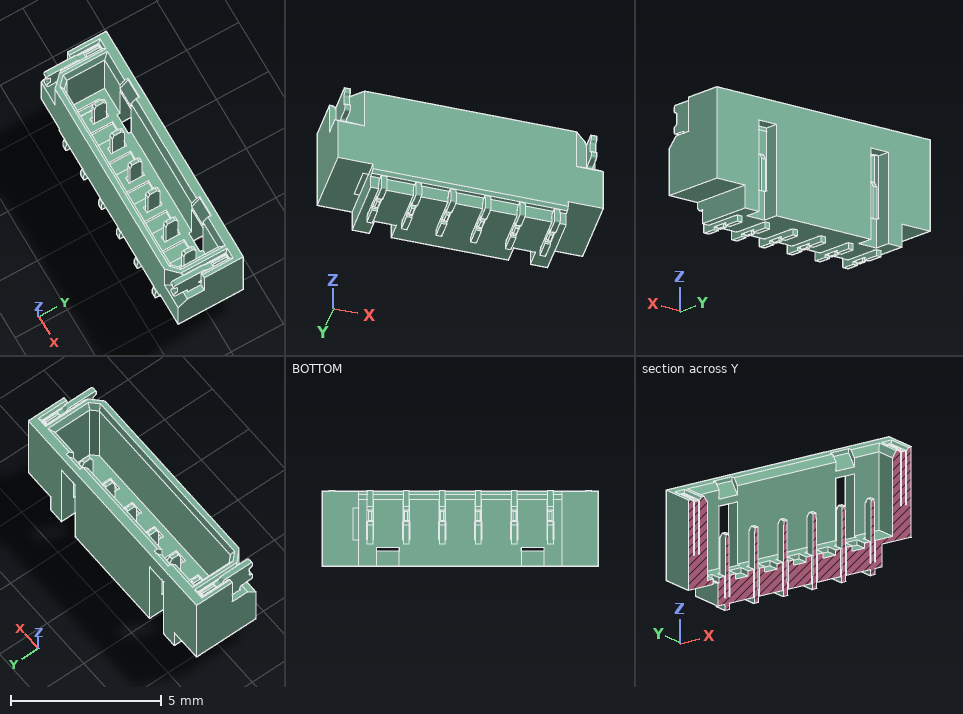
import cadquery as cq


length = 9.2
depth = 2.5
top_z = 4.2
ear_bottom_z = 1.01
base_length = 6.77
base_bottom_z = 0.21
overhang = 0.03

groove_top_z = 0.7
groove_depth = 0.27
groove_bevel = 0.11

cavity_half_length = 3.81
cavity_front_y = 0.3
cavity_back_y = 1.99
cavity_floor_z = 1.21
cavity_corner = 0.23
mouth_half_length = 3.96
mouth_front_y = 0.19
mouth_back_y = 2.17
mouth_corner = 0.285
lead_in_height = 0.23

window_x = 2.41
window_width = 0.75
window_front_y = 1.88
window_top_z = 3.4
ramp_bottom_z = 3.65
ramp_top_z = 4.06
ramp_back_y = 2.3

contact_count = 6
contact_span = 6.0
pitch = contact_span / (contact_count - 1)
contact_width = 0.19
contact_slot_width = 0.22
channel_top_z = 0.45
foot_back_y = 1.75
foot_front_z = 0.6
foot_slope_height = 0.2
foot_slope_setback = 0.05
foot_toe_radius = 0.06
foot_arch_front_y = 0.515
foot_arch_back_y = 1.12
foot_arch_z = 0.09
stud_front_y = 0.63
stud_back_y = 1.01
stud_taper = 0.05
pin_slot_front_y = 1.02
pin_slot_back_y = 1.61
pin_width = 0.17
pin_front_y = 1.09
pin_back_y = 1.55
pin_top_z = 2.67
pin_tip_height = 0.18
pin_tip_width = 0.13
pin_tip_front_y = 1.16
pin_tip_back_y = 1.435

pocket_front_y = 0.55
pocket_back_y = 1.63
pocket_depth = 0.18
pocket_width = 0.5
end_pocket_x = -3.46
end_pocket_width = 0.22

recess_corner_x = 3.67
recess_floor_z = 3.01
recess_back_y = 1.0
recess_bevel = 0.36
tab_x = 4.27
tab_slot_width = 0.22
tab_slot_back_y = 2.09
tab_slot_floor_z = 2.21
tab_lead_in = 0.09

tab_width = 0.19
tab_stem_front_y = 0.5
tab_lower_z = 3.19
tab_notch_bottom_z = 3.48
tab_notch_top_z = 3.94
tab_notch_depth = 0.14
tab_notch_slope = 0.05
tab_edge_radius = 0.09
tab_dip_radius = 0.11
tab_top_back_y = 1.15
tab_dip_front_y = 1.29
tab_dip_back_y = 1.53
tab_dip_z = 4.07
tab_ridge_z = 4.14
tab_ridge_width = 0.07
tab_ridge_back_y = 2.04
tab_ridge_taper = 0.05
tab_hole_y = 1.0
tab_hole_z = 3.28
tab_hole_radius = 0.07


def block(x, width, y0, y1, z0, z1):
    """Box centred on x, between the given Y and Z limits."""
    box = cq.Workplane("XY").box(width, y1 - y0, z1 - z0, centered=(True, False, False))
    return box.translate((x, y0, z0))


def frustum(x, bottom, top, z0, z1):
    """Tapered block; bottom and top are (width, front y, back y)."""
    sections = []
    for (width, y0, y1), z in ((bottom, z0), (top, z1)):
        half = width / 2
        corners = [(x - half, y0, z), (x + half, y0, z), (x + half, y1, z), (x - half, y1, z)]
        sections.append(cq.Wire.makePolygon([cq.Vector(*p) for p in corners], close=True))
    return cq.Workplane(obj=cq.Solid.makeLoft(sections, True))


def side_profile(points, x, width):
    """Outline in Y and Z, extruded to a width centred on x."""
    return cq.Workplane("YZ").polyline(points).close().extrude(width / 2, both=True).translate((x, 0, 0))


def cavity_outline(half_length, front_y, back_y, corner, z):
    """Rectangle with its two front corners cut off."""
    right = [
        (half_length - corner, front_y),
        (half_length, front_y + corner),
        (half_length, back_y),
    ]
    left = [(-x, y) for x, y in reversed(right)]
    return cq.Wire.makePolygon([cq.Vector(x, y, z) for x, y in right + left], close=True)


def make_cavity():
    inner_size = (cavity_half_length, cavity_front_y, cavity_back_y, cavity_corner)
    mouth_size = (mouth_half_length, mouth_front_y, mouth_back_y, mouth_corner)
    floor = cavity_outline(*inner_size, cavity_floor_z)
    neck = cavity_outline(*inner_size, top_z - lead_in_height)
    mouth = cavity_outline(*mouth_size, top_z)
    well = cq.Workplane(obj=cq.Solid.makeLoft([floor, neck], True))
    return well.union(cq.Workplane(obj=cq.Solid.makeLoft([neck, mouth], True)))


def make_groove():
    outline = [
        (0, base_bottom_z),
        (groove_depth, base_bottom_z),
        (groove_depth, groove_top_z),
        (groove_bevel, groove_top_z),
        (0, groove_top_z + groove_bevel),
    ]
    return side_profile(outline, 0, base_length)


def make_latch_window(x):
    opening = block(x, window_width, window_front_y, depth, base_bottom_z, window_top_z)
    ramp = [
        (cavity_back_y, ramp_bottom_z),
        (ramp_back_y, ramp_top_z),
        (ramp_back_y, top_z),
        (cavity_back_y, top_z),
    ]
    return opening.union(side_profile(ramp, x, window_width))


def make_tab_pocket():
    """Bevelled corner recess and tab slot at the left end."""
    end_x = -length / 2
    slot_inner_x = -tab_x + tab_slot_width / 2
    recess_plan = [
        (end_x, 0),
        (-recess_corner_x, 0),
        (slot_inner_x, -recess_corner_x - slot_inner_x),
        (slot_inner_x, recess_back_y),
        (end_x, recess_back_y),
    ]
    bevelled_plan = [
        (0, recess_floor_z - recess_bevel),
        (recess_bevel, recess_floor_z),
        (recess_back_y, recess_floor_z),
        (recess_back_y, top_z),
        (0, top_z),
    ]
    recess = cq.Workplane("XY").polyline(recess_plan).close().extrude(top_z)
    recess = recess.intersect(side_profile(bevelled_plan, 0, length))
    slot = block(-tab_x, tab_slot_width, tab_stem_front_y, tab_slot_back_y, tab_slot_floor_z, top_z)
    lead_in = frustum(
        -tab_x,
        (tab_slot_width, 0, tab_slot_back_y),
        (tab_slot_width + 2 * tab_lead_in, 0, tab_slot_back_y + tab_lead_in),
        top_z - tab_lead_in,
        top_z,
    )
    return recess.union(slot).union(lead_in)


def make_tab():
    """Upright solder tab at the left end, with a two-lobed front edge."""
    notch_y = tab_notch_depth - overhang
    half_slope = tab_notch_slope / 2
    outline = [
        (-overhang, top_z),
        (-overhang, tab_notch_top_z + half_slope),
        (notch_y, tab_notch_top_z - half_slope),
        (notch_y, tab_notch_bottom_z + half_slope),
        (-overhang, tab_notch_bottom_z - half_slope),
        (-overhang, tab_lower_z),
        (tab_stem_front_y, tab_lower_z),
        (tab_stem_front_y, tab_slot_floor_z),
        (tab_slot_back_y, tab_slot_floor_z),
        (tab_slot_back_y, tab_dip_z),
        (tab_dip_front_y, tab_dip_z),
        (tab_top_back_y, top_z),
    ]
    tab = side_profile(outline, -tab_x, tab_width)
    margin = 0.09
    front_region = cq.selectors.BoxSelector(
        (-length, -margin, tab_lower_z - margin), (length, tab_stem_front_y + margin, top_z + margin)
    )
    dip_region = cq.selectors.BoxSelector(
        (-length, tab_stem_front_y + margin, tab_dip_z - margin), (length, tab_dip_back_y, top_z + margin)
    )
    tab = tab.edges("|X").edges(front_region).fillet(tab_edge_radius)
    tab = tab.edges("|X").edges(dip_region).fillet(tab_dip_radius)
    ridge = frustum(
        -tab_x,
        (tab_width, tab_dip_back_y - tab_ridge_taper, tab_ridge_back_y),
        (tab_ridge_width, tab_dip_back_y, tab_ridge_back_y),
        tab_dip_z,
        tab_ridge_z,
    )
    hole = cq.Workplane("YZ").center(tab_hole_y, tab_hole_z).circle(tab_hole_radius)
    return tab.union(ridge).cut(hole.extrude(length, both=True))


def make_contact_slot(x):
    """Channel under the base and the opening through the cavity floor."""
    channel = block(x, contact_slot_width, groove_depth, pin_slot_back_y, base_bottom_z, channel_top_z)
    opening = block(x, contact_slot_width, pin_slot_front_y, pin_slot_back_y, base_bottom_z, cavity_floor_z)
    return channel.union(opening)


def make_contact(x):
    """Solder foot with an arched underside and an upright mating pin."""
    foot_outline = [
        (-overhang, 0),
        (foot_arch_front_y, 0),
        (foot_arch_front_y, foot_arch_z),
        (foot_arch_back_y, foot_arch_z),
        (foot_arch_back_y, 0),
        (foot_back_y, 0),
        (foot_back_y, base_bottom_z),
        (pin_slot_back_y, base_bottom_z),
        (pin_slot_back_y, channel_top_z),
        (groove_depth, channel_top_z),
        (groove_depth, foot_front_z),
        (foot_slope_setback - overhang, foot_front_z),
        (-overhang, foot_front_z - foot_slope_height),
    ]
    foot = side_profile(foot_outline, x, contact_width)
    foot = foot.edges("|X").edges("<Y").edges("<Z").fillet(foot_toe_radius)
    stud = frustum(
        x,
        (contact_width - 2 * stud_taper, stud_front_y + stud_taper, stud_back_y - stud_taper),
        (contact_width, stud_front_y, stud_back_y),
        0,
        foot_arch_z,
    )
    tip_base_z = pin_top_z - pin_tip_height
    post = block(x, pin_width, pin_front_y, pin_back_y, base_bottom_z, tip_base_z)
    tip = frustum(
        x,
        (pin_width, pin_front_y, pin_back_y),
        (pin_tip_width, pin_tip_front_y, pin_tip_back_y),
        tip_base_z,
        pin_top_z,
    )
    return foot.union(stud).union(post).union(tip)


def make_floor_pocket(x, width):
    return block(x, width, pocket_front_y, pocket_back_y, cavity_floor_z - pocket_depth, cavity_floor_z)


contact_xs = [(i - (contact_count - 1) / 2) * pitch for i in range(contact_count)]

result = block(0, length, 0, depth, ear_bottom_z, top_z)
result = result.union(block(0, base_length, 0, depth, base_bottom_z, ear_bottom_z))
result = result.cut(make_groove()).cut(make_cavity())
for side in (-1, 1):
    result = result.cut(make_latch_window(side * window_x))

for x in contact_xs[:-1]:
    result = result.cut(make_floor_pocket(x + pitch / 2, pocket_width))
result = result.cut(make_floor_pocket(end_pocket_x, end_pocket_width))

for x in contact_xs:
    result = result.cut(make_contact_slot(x)).union(make_contact(x))

tab_pocket = make_tab_pocket()
tab = make_tab()
result = result.cut(tab_pocket).cut(tab_pocket.mirror("YZ"))
result = result.union(tab).union(tab.mirror("YZ"))